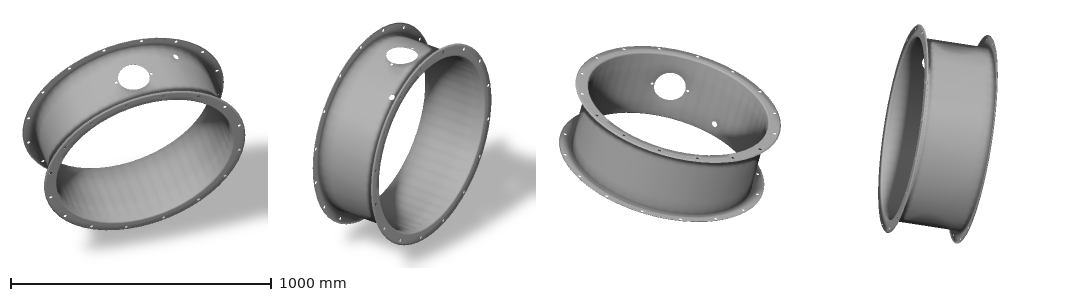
import cadquery as cq
import math

length = 280.0
flange_radius = 405.0
duct_radius = 355.5
sheet = 1.0
bend_outer = 7.0
bend_inner = bend_outer - sheet

lip_angle = 45
lip_length = 4.0

bolt_count = 16
bolt_circle_radius = 386.0
bolt_hole_diameter = 12.0

opening_diameter = 121.5
screw_hole_diameter = 10.5
screw_hole_offset = 70.5

side_hole_diameter = 23.5
side_hole_x = -89.0
side_hole_tilt = 33.8

half_length = length / 2
bore_radius = duct_radius - sheet

bend_x = half_length - bend_outer
root_bend = (bend_x, bore_radius + bend_outer)
lip_rise = lip_length * math.cos(math.radians(lip_angle))
rim_bend = (bend_x, flange_radius - lip_rise - bend_outer * math.sin(math.radians(lip_angle)))


def polar_point(center, radius, angle):
    """Point in the (x, r) plane at an angle in degrees from +X."""
    turn = math.radians(angle)
    return (center[0] + radius * math.cos(turn), center[1] + radius * math.sin(turn))


def lip_tip(radius):
    """End of the straight lip that leaves the rim bend tangentially at the given radius."""
    return polar_point(polar_point(rim_bend, radius, lip_angle), lip_length, lip_angle + 90)


def sheet_body():
    """Duct wall with an outward flange and a folded-back lip at both ends."""
    half_profile = (
        cq.Workplane("XY")
        .moveTo(0, bore_radius)
        .lineTo(*polar_point(root_bend, bend_outer, -90))
        .threePointArc(polar_point(root_bend, bend_outer, -45), polar_point(root_bend, bend_outer, 0))
        .lineTo(*polar_point(rim_bend, bend_outer, 0))
        .threePointArc(
            polar_point(rim_bend, bend_outer, lip_angle / 2),
            polar_point(rim_bend, bend_outer, lip_angle),
        )
        .lineTo(*lip_tip(bend_outer))
        .lineTo(*lip_tip(bend_inner))
        .lineTo(*polar_point(rim_bend, bend_inner, lip_angle))
        .threePointArc(
            polar_point(rim_bend, bend_inner, lip_angle / 2),
            polar_point(rim_bend, bend_inner, 0),
        )
        .lineTo(*polar_point(root_bend, bend_inner, 0))
        .threePointArc(polar_point(root_bend, bend_inner, -45), polar_point(root_bend, bend_inner, -90))
        .lineTo(0, duct_radius)
        .close()
    )
    half = half_profile.revolve(360, (0, 0, 0), (1, 0, 0))
    return half.union(half.mirror("YZ"))


def bolt_holes():
    """Bolt holes through both flanges, straddling the vertical centre line."""
    return (
        cq.Workplane("YZ")
        .workplane(offset=-half_length)
        .polarArray(bolt_circle_radius, 180 / bolt_count, 360, bolt_count)
        .circle(bolt_hole_diameter / 2)
        .extrude(length)
    )


def top_holes():
    """Vertical cutters for the top opening and its two screw holes."""
    return (
        cq.Workplane("XY")
        .circle(opening_diameter / 2)
        .pushPoints([(0, -screw_hole_offset), (0, screw_hole_offset)])
        .circle(screw_hole_diameter / 2)
        .extrude(flange_radius)
    )


def side_hole():
    """Radial cutter, tilted about the duct axis."""
    return (
        cq.Workplane("XY")
        .center(side_hole_x, 0)
        .circle(side_hole_diameter / 2)
        .extrude(flange_radius)
        .rotate((0, 0, 0), (1, 0, 0), -side_hole_tilt)
    )


result = sheet_body().cut(bolt_holes()).cut(top_holes()).cut(side_hole())